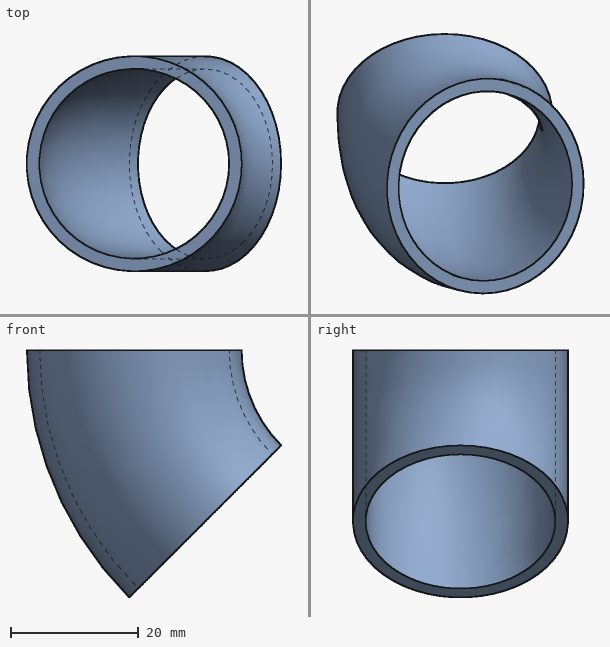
import cadquery as cq

outer_diameter = 33.7
wall_thickness = 2.0
bend_radius = 37.98
bend_angle = 45

inner_diameter = outer_diameter - 2 * wall_thickness

ring_section = cq.Workplane("XY").circle(outer_diameter / 2).circle(inner_diameter / 2)

bend_axis_start = (bend_radius, 0, 0)
bend_axis_end = (bend_radius, -1, 0)
result = ring_section.revolve(bend_angle, bend_axis_start, bend_axis_end)